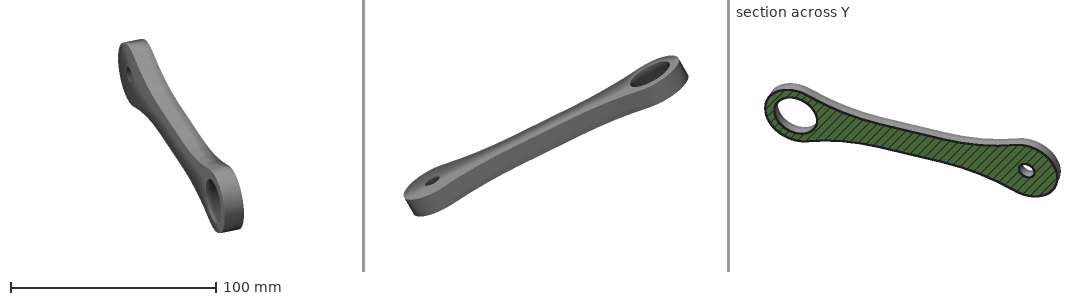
import cadquery as cq
import math

center_distance = 120.0
thickness = 10.0
end_radius = 16.0
neck_width = 15.0
blend_radius = 100.0
small_hole_diameter = 8.0
large_hole_diameter = 22.0

eye_x = center_distance / 2
neck_half = neck_width / 2
blend_center_z = neck_half + blend_radius
centers_apart = end_radius + blend_radius
blend_run = math.sqrt(centers_apart**2 - blend_center_z**2)
neck_end_x = eye_x - blend_run
tangent_x = eye_x - blend_run * end_radius / centers_apart
tangent_z = blend_center_z * end_radius / centers_apart

blend_half_angle = math.asin(blend_run / centers_apart) / 2
blend_mid_x = neck_end_x + blend_radius * math.sin(blend_half_angle)
blend_mid_z = blend_center_z - blend_radius * math.cos(blend_half_angle)

crown_mid_x = eye_x - end_radius * math.sin(blend_half_angle)
crown_mid_z = end_radius * math.cos(blend_half_angle)


def add_end(outline, side):
    """Continue the outline around one end: side 1 for +X, -1 for the same path turned 180 degrees."""
    arcs = [
        ((blend_mid_x, blend_mid_z), (tangent_x, tangent_z)),
        ((crown_mid_x, crown_mid_z), (eye_x, end_radius)),
        ((eye_x + end_radius, 0), (eye_x, -end_radius)),
        ((crown_mid_x, -crown_mid_z), (tangent_x, -tangent_z)),
        ((blend_mid_x, -blend_mid_z), (neck_end_x, -neck_half)),
    ]
    outline = outline.lineTo(side * neck_end_x, side * neck_half)
    for (mid_x, mid_z), (stop_x, stop_z) in arcs:
        outline = outline.threePointArc((side * mid_x, side * mid_z), (side * stop_x, side * stop_z))
    return outline


def make_link():
    """Flat link in the XZ plane, centred on the origin, narrowing to a straight neck."""
    outline = cq.Workplane("XZ", origin=(0, thickness / 2, 0)).moveTo(-neck_end_x, neck_half)
    outline = add_end(outline, 1)
    outline = add_end(outline, -1)
    return outline.close().extrude(thickness, clean=False)


def make_hole(x, diameter):
    """Cylinder along Y that cuts a through hole at the given X."""
    return cq.Workplane("XZ", origin=(x, thickness / 2, 0)).circle(diameter / 2).extrude(thickness)


result = (
    make_link()
    .cut(make_hole(-eye_x, small_hole_diameter), clean=False)
    .cut(make_hole(eye_x, large_hole_diameter), clean=False)
)